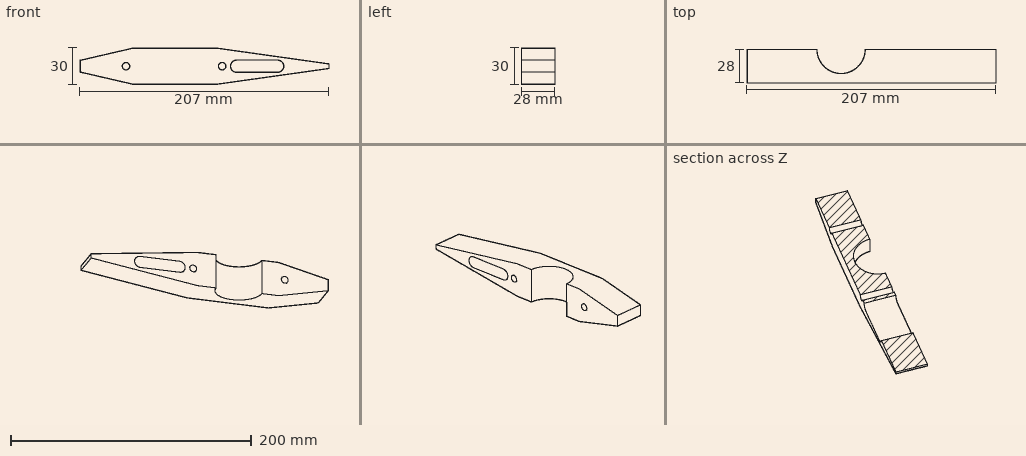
import cadquery as cq

length = 207.0
depth = 28.0
height = 30.0

nose_height = 10.0
tail_height = 4.0
nose_taper_end = 43.5
tail_taper_start = 114.3

saddle_x = 78.0
saddle_diameter = 40.0

hole_spacing = 80.0
hole_diameter = 6.0

slot_start = 125.0
slot_length = 44.0
slot_width = 10.0


def make_body():
    """Extrude the tapered side profile from the front face to the back."""
    upper_edge = [
        (0, nose_height / 2),
        (nose_taper_end, height / 2),
        (tail_taper_start, height / 2),
        (length, tail_height / 2),
    ]
    lower_edge = [(x, -z) for x, z in reversed(upper_edge)]
    profile = cq.Workplane("XZ").polyline(upper_edge + lower_edge).close()
    return profile.extrude(-depth)


def make_saddle():
    """Vertical cylinder centred on the back face."""
    base = cq.Workplane("XY").workplane(offset=-height / 2)
    return base.center(saddle_x, depth).circle(saddle_diameter / 2).extrude(height)


def make_cross_holes():
    """Pair of holes running through the full depth."""
    centers = [(saddle_x + side * hole_spacing / 2, 0) for side in (-1, 1)]
    return cq.Workplane("XZ").pushPoints(centers).circle(hole_diameter / 2).extrude(-depth)


def make_slot():
    """Round-ended slot running through the full depth."""
    center_x = slot_start + slot_length / 2
    return cq.Workplane("XZ").center(center_x, 0).slot2D(slot_length, slot_width).extrude(-depth)


result = make_body().cut(make_saddle()).cut(make_cross_holes()).cut(make_slot())